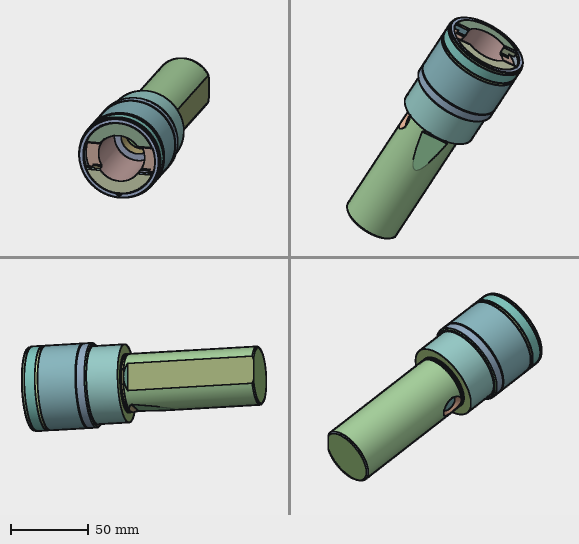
import cadquery as cq

total_length = 152.6

sleeve_radius = 27.6
sleeve_length = 43.0
sleeve_back_chamfer = 0.9
nose_radius = 27.2
nose_length = 2.0
nose_chamfer = 0.5
narrow_groove_start = 36.0
narrow_groove_width = 0.6
narrow_groove_depth = 0.2
wide_groove_start = 9.0
wide_groove_width = 1.8
wide_groove_depth = 0.5

collar_radius = 25.5
collar_end = 63.8
shank_radius = 19.0
shank_chamfer = 0.9
relief_start = 64.7
relief_width = 1.4
relief_depth = 0.3

side_flat_offset = 16.8
side_flat_start = 68.5

slope_high_y = 95.5
slope_low_y = 69.3
slope_low_offset = 16.6
slope_arc_y = 67.5
slope_arc_offset = 17.5
slope_runout_y = 66.2

seat_y = 74.2
seat_floor_radius = 5.2
seat_mouth_radius = 8.2
seat_depth = 3.2

bore_radius = 15.5
bore_depth = sleeve_length
inner_bore_radius = 11.0
inner_bore_depth = 53.4
insert_radius = 24.0
gap_radius = 24.3
gap_depth = 1.7
slot_width = 17.0
slot_depth = 6.1
slot_chamfer = 0.9
slot_corner = 0.8
ring_seat_radius = 20.8
ring_seat_width = 2.1

notch_offset = 23.3
notch_radius = 2.1
notch_depth = 1.2

clearance = 1.5


def cylinder(radius, start, length):
    """Solid cylinder on the Y axis from y = start towards +Y."""
    return cq.Workplane("XZ", origin=(0, start, 0)).circle(radius).extrude(-length)


def groove_points(radius, depth, start, width):
    """Corners of a square groove turned into a cylinder of the given radius."""
    floor = radius - depth
    return [(radius, start), (floor, start), (floor, start + width), (radius, start + width)]


def turned_body():
    profile = [
        (0, 0),
        (nose_radius - nose_chamfer, 0),
        (nose_radius, nose_chamfer),
        (nose_radius, nose_length),
        (sleeve_radius, nose_length),
        *groove_points(sleeve_radius, wide_groove_depth, wide_groove_start, wide_groove_width),
        *groove_points(sleeve_radius, narrow_groove_depth, narrow_groove_start, narrow_groove_width),
        (sleeve_radius, sleeve_length - sleeve_back_chamfer),
        (sleeve_radius - sleeve_back_chamfer, sleeve_length),
        (collar_radius, sleeve_length),
        (collar_radius, collar_end),
        (shank_radius, collar_end),
        *groove_points(shank_radius, relief_depth, relief_start, relief_width),
        (shank_radius, total_length - shank_chamfer),
        (shank_radius - shank_chamfer, total_length),
        (0, total_length),
    ]
    return cq.Workplane("XY").polyline(profile).close().revolve(360, (0, 0, 0), (0, 1, 0))


def side_flat():
    outside = shank_radius + clearance
    ramp_end = side_flat_start - (outside - side_flat_offset)
    return (
        cq.Workplane("XY")
        .moveTo(side_flat_offset, total_length + clearance)
        .lineTo(side_flat_offset, side_flat_start)
        .lineTo(outside, ramp_end)
        .lineTo(outside, total_length + clearance)
        .close()
        .extrude(collar_radius, both=True)
    )


def sloped_flat():
    outside = -shank_radius - clearance
    return (
        cq.Workplane("YZ")
        .moveTo(slope_high_y, -shank_radius)
        .lineTo(slope_low_y, -slope_low_offset)
        .threePointArc((slope_arc_y, -slope_arc_offset), (slope_runout_y, -shank_radius))
        .lineTo(slope_runout_y, outside)
        .lineTo(slope_high_y, outside)
        .close()
        .extrude(collar_radius, both=True)
    )


def conical_seat():
    """Conical seat with a flat floor, revolved about its own X-parallel axis."""
    seat_floor_x = seat_depth - shank_radius
    return (
        cq.Workplane("XY", origin=(0, seat_y, 0))
        .moveTo(-shank_radius - clearance, 0)
        .lineTo(-shank_radius - clearance, seat_mouth_radius)
        .lineTo(-shank_radius, seat_mouth_radius)
        .lineTo(seat_floor_x, seat_floor_radius)
        .lineTo(seat_floor_x, 0)
        .close()
        .revolve(360, (0, 0, 0), (1, 0, 0))
    )


def tube(outer_radius, inner_radius, start, length):
    """Solid tube on the Y axis from y = start towards +Y."""
    return cylinder(outer_radius, start, length).cut(cylinder(inner_radius, start, length))


def drive_slot():
    """Slot along X with a chamfered mouth and chamfered floor corners."""
    half_width = slot_width / 2
    upper = [
        (0, half_width + slot_chamfer),
        (slot_chamfer, half_width),
        (slot_depth - slot_corner, half_width),
        (slot_depth, half_width - slot_corner),
    ]
    lower = [(y, -z) for y, z in reversed(upper)]
    slot = cq.Workplane("YZ").polyline(upper + lower).close().extrude(sleeve_radius, both=True)
    return slot.intersect(cylinder(insert_radius, 0, slot_depth))


def ring_seat():
    return tube(insert_radius, ring_seat_radius, slot_depth - ring_seat_width, ring_seat_width)


def index_notch():
    notch = cq.Workplane("XZ").center(0, -notch_offset).circle(notch_radius).extrude(-notch_depth)
    return notch.cut(cylinder(insert_radius, 0, notch_depth))


result = turned_body()
result = result.cut(side_flat()).cut(sloped_flat()).cut(conical_seat())
result = result.cut(cylinder(bore_radius, 0, bore_depth))
result = result.cut(cylinder(inner_bore_radius, 0, inner_bore_depth))
result = result.cut(tube(gap_radius, insert_radius, 0, gap_depth))
result = result.cut(drive_slot()).cut(ring_seat()).cut(index_notch())